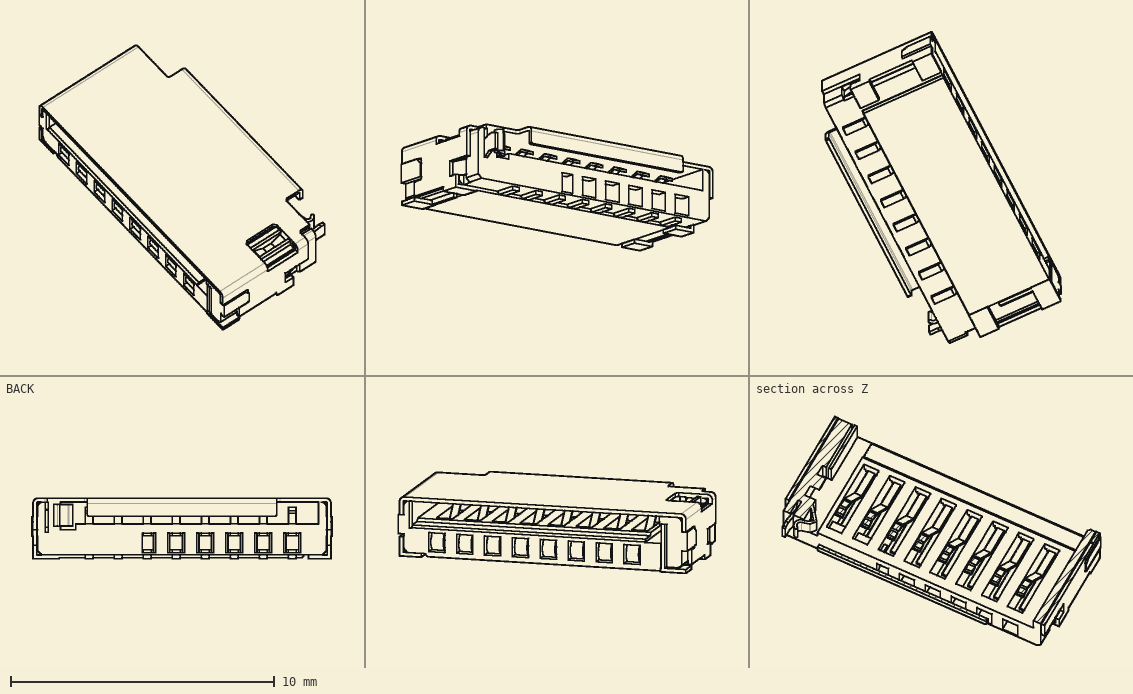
import cadquery as cq
import math

SHEET = 0.15
SHELL_HALF_WIDTH = 5.65
SHELL_DEPTH = 4.60
HEIGHT = 2.30
BEND_OUTER = 0.20
BEND_INNER = BEND_OUTER - SHEET
CEILING = HEIGHT - SHEET

FLAP_HALF_WIDTH = 3.60
FLAP_REAR = 5.45
FLAP_BOTTOM = 1.61
FLAP_CORNER = 0.10
FLAP_TIP_CHAMFER = 0.05
ARC_MIDDLE = FLAP_CORNER * (1 - math.sqrt(0.5))

LATCH_HALF_WIDTH = 5.70
LATCH_BOTTOM = 0.86
LATCH_TOP = 1.60
LATCH_OPENING_BOTTOM = 0.75
LATCH_OPENING_DEPTH = 1.22
LATCH_CORNER = 0.08
LATCH_CHAMFER = 0.20

LEFT_FOOT_END = -4.79
RIGHT_FOOT_END = 4.65
FOOT_GAP_FRONT = 0.79
FOOT_GAP_REAR = 2.62
FOOT_GAP_HEIGHT = 0.18
FOOT_GAP_SLOPE = 0.03
REAR_NOTCH_START = 3.40
REAR_NOTCH_TOP = 0.51
SIDE_RELIEF_START = 3.01
SIDE_RELIEF_TOP = 1.10

WINDOW_LEFT = 4.23
WINDOW_FRONT = 2.16
WINDOW_REAR = 3.61
WINDOW_CORNER = 0.10
WINDOW_WALL_BOTTOM = 1.95
LID_NOTCH_LEFT = 5.10
LID_NOTCH_FRONT = 4.10

HOUSING_HALF_WIDTH = 5.48
HOUSING_BOTTOM = SHEET
HOUSING_CHAMFER = 0.15
HOUSING_TOP_RADIUS = 0.20
HOUSING_FRONT = 0.02
BELLY_BOTTOM = 0.03
BELLY_LEFT = -4.62
BELLY_CHAMFER = 0.08
BELLY_RIGHT = 4.66
CARD_LEFT = -5.17
CARD_RIGHT = 4.60
CARD_LEAD_IN = 0.11
SILL = 1.10
LEDGE = SILL + CARD_LEAD_IN
FLOOR = LEDGE + CARD_LEAD_IN
LEDGE_DEPTH = 0.75
FLOOR_RIGHT = 4.03
RECESS_DEPTH = 0.20
RECESS_REAR = 3.84

CONTACT_COUNT = 8
CONTACT_PITCH = 1.10
FIRST_CONTACT = -4.18
CHANNEL_WIDTH = 0.635
CHANNEL_BOTTOM = 0.235
CHANNEL_TOP = 0.97
BEND_WIDTH = 0.49
BEAM_WIDTH = 0.30
BEAM_THICKNESS = 0.10
CONTACT_FRONT = 0.06
BEAM_RISE_Y = 2.20
BEAM_SHOULDER = 1.82
BEAM_SHOULDER_Y = 3.05
BEAM_PEAK = 1.96
BEAM_PEAK_Y = 3.45
BEAM_TIP_Y = 3.80
CONTACT_CENTRES = [FIRST_CONTACT + i * CONTACT_PITCH for i in range(CONTACT_COUNT)]
SLOT_FRONT = 1.10
SLOT_REAR = 4.20
TAIL_THICKNESS = 0.13
TAIL_REAR = 4.36
CLOSED_CHANNELS_LEFT = 1.50
REAR_WALL_BOTTOM_Y = 4.50
REAR_WALL_TOP_Y = 3.70

SWITCH_SLOT_LEFT = BELLY_RIGHT
SWITCH_SLOT_RIGHT = 4.90
SWITCH_SLOT_TOP = 1.85
SWITCH_SLOT_REAR = WINDOW_FRONT
LEAF_LEFT = 4.68
LEAF_THICKNESS = 0.13
BLADE_LEFT = 5.06
BLADE_RIGHT = 5.19
BLADE_REAR = 5.27
BLADE_BOTTOM = 1.20
BLADE_TOP = 1.87
BLADE_REAR_TOP = 1.83
BLADE_SADDLE = 1.45
BLADE_SHOULDER = 2.20
BLADE_SHOULDER_REAR = 3.80
BLADE_BEND_FRONT = 4.83
BLADE_BEND_REAR = 5.07
BLADE_BEND_TOP = 1.82
BLADE_ROOT_BOTTOM = 1.00
BLADE_TAPER_REAR = 4.90
ARM_LEFT = 4.69
ARM_FRONT = 2.25
ARM_DIP_FRONT = 2.68
ARM_DIP_REAR = 3.07
ARM_REAR = 3.50
ARM_TOP = CEILING
ARM_DIP = 0.20
WINDOW_POCKET_RIGHT = 5.46
RIGHT_POCKET_BOTTOM = 1.95
FOOT_CLEARANCE = 0.05
FOOT_CLEARANCE_DEPTH = 0.30
HOOK_ROOT_X = 4.75
HOOK_ROOT_Y = 3.72
HOOK_LEFT = 4.20
HOOK_LEFT_Y = 4.45
HOOK_FOOT_X = 4.35
HOOK_FOOT_Y = 4.62
HOOK_CURL_X = 4.65
HOOK_CURL_Y = 4.69
HOOK_RIGHT = 4.80
HOOK_RIGHT_Y = 4.87
HOOK_TIP_X = 4.70
HOOK_TIP_Y = 5.05
HOOK_BOTTOM = 1.24
HOOK_TOP = 2.06
HOOK_THICKNESS = 0.13


def block(x0, x1, y0, y1, z0, z1):
    """Axis-aligned box between two corners."""
    return cq.Workplane("XY").box(x1 - x0, y1 - y0, z1 - z0, centered=False).translate((x0, y0, z0))


def side_profile(points, x0, x1):
    """Extrude a (Y, Z) polygon from x0 to x1."""
    return cq.Workplane("YZ").polyline(points).close().extrude(x1 - x0).translate((x0, 0, 0))


def plan_profile(points, z0, z1):
    """Extrude an (X, Y) polygon from z0 to z1."""
    return cq.Workplane("XY").polyline(points).close().extrude(z1 - z0).translate((0, 0, z0))


def make_flap():
    """Lid tab that runs rearward and bends down behind the card."""
    front = SHELL_DEPTH - SHEET
    outer = block(-FLAP_HALF_WIDTH, FLAP_HALF_WIDTH, front, FLAP_REAR, FLAP_BOTTOM, HEIGHT)
    outer = outer.edges(">Y and >Z").fillet(BEND_OUTER)
    inner = block(-FLAP_HALF_WIDTH, FLAP_HALF_WIDTH, front, FLAP_REAR - SHEET, FLAP_BOTTOM, CEILING)
    inner = inner.edges(">Y and >Z").fillet(BEND_INNER)
    flap = outer.cut(inner)
    flap = flap.edges("|Y and <Z").chamfer(FLAP_TIP_CHAMFER)
    for side in (-1, 1):
        corner = (
            cq.Workplane("XY")
            .lineTo(side * FLAP_CORNER, 0)
            .threePointArc((side * ARC_MIDDLE, ARC_MIDDLE), (0, FLAP_CORNER))
            .close()
            .extrude(SHEET)
        )
        flap = flap.union(corner.translate((side * FLAP_HALF_WIDTH, SHELL_DEPTH, CEILING)))
    return flap


def make_shell():
    """Folded sheet cover: lid, side walls, feet and rear flap."""
    inner_half = SHELL_HALF_WIDTH - SHEET
    outer = block(-SHELL_HALF_WIDTH, SHELL_HALF_WIDTH, 0, SHELL_DEPTH, 0, HEIGHT)
    outer = outer.edges("|Y and >Z").fillet(BEND_OUTER)
    inner = block(-inner_half, inner_half, 0, SHELL_DEPTH, SHEET, CEILING)
    inner = inner.edges("|Y and >Z").fillet(BEND_INNER)
    shell = outer.cut(inner)
    shell = shell.cut(block(LEFT_FOOT_END, RIGHT_FOOT_END, 0, SHELL_DEPTH, 0, SHEET))

    gap = side_profile(
        [
            (FOOT_GAP_FRONT, 0),
            (FOOT_GAP_REAR, 0),
            (FOOT_GAP_REAR - FOOT_GAP_SLOPE, FOOT_GAP_HEIGHT),
            (FOOT_GAP_FRONT + FOOT_GAP_SLOPE, FOOT_GAP_HEIGHT),
        ],
        -SHELL_HALF_WIDTH,
        SHELL_HALF_WIDTH,
    )
    rear_notch = block(
        -SHELL_HALF_WIDTH, SHELL_HALF_WIDTH, REAR_NOTCH_START, SHELL_DEPTH, 0, REAR_NOTCH_TOP
    )
    relief = block(
        -SHELL_HALF_WIDTH, SHELL_HALF_WIDTH, SIDE_RELIEF_START, SHELL_DEPTH, REAR_NOTCH_TOP, SIDE_RELIEF_TOP
    )
    latch_opening = block(
        -SHELL_HALF_WIDTH, SHELL_HALF_WIDTH, 0, LATCH_OPENING_DEPTH, LATCH_OPENING_BOTTOM, LATCH_TOP
    ).edges("|X and >Y").fillet(LATCH_CORNER)
    right_opening = block(
        inner_half, SHELL_HALF_WIDTH, 0, FOOT_GAP_FRONT, SHEET, LATCH_OPENING_BOTTOM
    )
    shell = shell.cut(right_opening).cut(gap).cut(rear_notch).cut(relief).cut(latch_opening)

    window = block(WINDOW_LEFT, SHELL_HALF_WIDTH, WINDOW_FRONT, WINDOW_REAR, WINDOW_WALL_BOTTOM, HEIGHT)
    window = window.edges("|Z and <X").chamfer(WINDOW_CORNER)
    notch = block(
        LID_NOTCH_LEFT, SHELL_HALF_WIDTH, LID_NOTCH_FRONT, SHELL_DEPTH, SHEET, HEIGHT
    ).edges("|Z and <X and <Y").fillet(WINDOW_CORNER)
    return shell.cut(window).cut(notch).union(make_flap())


def make_card_space():
    """Space for the card, with a lead-in on the left wall and the stepped sill."""
    space = block(CARD_LEFT, CARD_RIGHT, 0, SHELL_DEPTH, SILL, CEILING)
    lead_in = plan_profile(
        [(CARD_LEFT - CARD_LEAD_IN, 0), (CARD_LEFT, 0), (CARD_LEFT, CARD_LEAD_IN)], SILL, CEILING
    )
    floor = side_profile(
        [
            (0, SILL),
            (CARD_LEAD_IN, LEDGE),
            (LEDGE_DEPTH, LEDGE),
            (LEDGE_DEPTH + CARD_LEAD_IN, FLOOR),
            (SHELL_DEPTH, FLOOR),
            (SHELL_DEPTH, SILL),
        ],
        CARD_LEFT,
        FLOOR_RIGHT,
    )
    return space.cut(floor).union(lead_in)


def make_side_recess(side):
    """Recess in a side wall: a ramp toward the rear and a flat notch below its deep end."""
    outer = side * HOUSING_HALF_WIDTH
    inner = outer - side * RECESS_DEPTH
    ramp = plan_profile(
        [(outer, SIDE_RELIEF_START), (outer, RECESS_REAR), (inner, RECESS_REAR)],
        REAR_NOTCH_TOP,
        SIDE_RELIEF_TOP,
    )
    notch = block(
        min(inner, outer), max(inner, outer), REAR_NOTCH_START, RECESS_REAR, HOUSING_BOTTOM, REAR_NOTCH_TOP
    )
    return ramp.union(notch)


def make_housing():
    """Moulded body with side latches, card space and switch slot."""
    body = block(-HOUSING_HALF_WIDTH, HOUSING_HALF_WIDTH, 0, SHELL_DEPTH, HOUSING_BOTTOM, CEILING)
    body = body.edges("|Y and <Z").chamfer(HOUSING_CHAMFER)
    body = body.edges("|Y and >Z").fillet(HOUSING_TOP_RADIUS)
    belly = block(BELLY_LEFT, BELLY_RIGHT, 0, REAR_NOTCH_START, BELLY_BOTTOM, SILL)
    belly = belly.edges("|Y and <Z and <X").chamfer(BELLY_CHAMFER)
    latches = block(
        -LATCH_HALF_WIDTH, LATCH_HALF_WIDTH, 0, LATCH_OPENING_DEPTH, LATCH_BOTTOM, LATCH_TOP
    ).edges("|X and >Y and >Z").chamfer(LATCH_CHAMFER)
    switch_slot = block(
        SWITCH_SLOT_LEFT, SWITCH_SLOT_RIGHT, 0, SWITCH_SLOT_REAR, BELLY_BOTTOM, SWITCH_SLOT_TOP
    ).union(block(CARD_RIGHT, SWITCH_SLOT_RIGHT, 0, SWITCH_SLOT_REAR, SILL, SWITCH_SLOT_TOP))
    housing = body.union(belly).union(latches).cut(make_card_space()).cut(switch_slot)
    for side in (-1, 1):
        housing = housing.cut(make_side_recess(side))
    for x in CONTACT_CENTRES:
        housing = housing.cut(make_channel(x))
    front_trim = block(-LATCH_HALF_WIDTH, LATCH_HALF_WIDTH, 0, HOUSING_FRONT, 0, HEIGHT)
    return housing.union(make_rear_wall()).cut(make_switch_space()).cut(front_trim)


def make_channel(x):
    """Through channel of one contact and the slot its spring rises through."""
    half = CHANNEL_WIDTH / 2
    channel = block(x - half, x + half, 0, SHELL_DEPTH, CHANNEL_BOTTOM, CHANNEL_TOP)
    slot = block(x - half, x + half, SLOT_FRONT, SLOT_REAR, CHANNEL_TOP, FLOOR)
    return channel.union(slot)


def make_rear_wall():
    """Sloped wall that closes the right-hand channels at the rear."""
    return side_profile(
        [
            (REAR_WALL_BOTTOM_Y, CHANNEL_BOTTOM),
            (SHELL_DEPTH, CHANNEL_BOTTOM),
            (SHELL_DEPTH, CHANNEL_TOP),
            (REAR_WALL_TOP_Y, CHANNEL_TOP),
        ],
        CLOSED_CHANNELS_LEFT,
        FLOOR_RIGHT,
    )


def make_switch_space():
    """Housing clearances: arm pocket, pocket beside the blade, blade slot and foot gap."""
    arm_pocket = block(CARD_RIGHT, BLADE_RIGHT, WINDOW_FRONT, WINDOW_REAR, SILL, CEILING)
    right_pocket = block(
        BLADE_RIGHT, WINDOW_POCKET_RIGHT, WINDOW_FRONT, WINDOW_REAR, RIGHT_POCKET_BOTTOM, CEILING
    )
    blade_slot = block(BLADE_LEFT, BLADE_RIGHT, WINDOW_REAR, SHELL_DEPTH, BLADE_SADDLE, CEILING)
    foot_gap = block(
        SWITCH_SLOT_RIGHT,
        HOUSING_HALF_WIDTH - HOUSING_CHAMFER,
        0,
        FOOT_CLEARANCE_DEPTH,
        HOUSING_BOTTOM,
        HOUSING_BOTTOM + FOOT_CLEARANCE,
    )
    return arm_pocket.union(right_pocket).union(blade_slot).union(foot_gap)


def make_contact(x):
    """Spring contact: front bend, sloping beam with a peak, and solder tail."""
    radius = (CHANNEL_TOP - CHANNEL_BOTTOM) / 2
    centre_y = CONTACT_FRONT + radius
    centre_z = CHANNEL_BOTTOM + radius
    bend = (
        cq.Workplane("YZ")
        .moveTo(SLOT_FRONT, CHANNEL_BOTTOM)
        .lineTo(centre_y, CHANNEL_BOTTOM)
        .threePointArc((CONTACT_FRONT, centre_z), (centre_y, CHANNEL_TOP))
        .lineTo(SLOT_FRONT, CHANNEL_TOP)
        .lineTo(SLOT_FRONT, CHANNEL_TOP - BEAM_THICKNESS)
        .lineTo(centre_y, CHANNEL_TOP - BEAM_THICKNESS)
        .threePointArc(
            (CONTACT_FRONT + BEAM_THICKNESS, centre_z), (centre_y, CHANNEL_BOTTOM + BEAM_THICKNESS)
        )
        .lineTo(SLOT_FRONT, CHANNEL_BOTTOM + BEAM_THICKNESS)
        .close()
        .extrude(BEND_WIDTH / 2, both=True)
    )
    spring = side_profile(
        [
            (SLOT_FRONT, CHANNEL_TOP - BEAM_THICKNESS),
            (BEAM_RISE_Y, CHANNEL_TOP - BEAM_THICKNESS),
            (BEAM_SHOULDER_Y, BEAM_SHOULDER - BEAM_THICKNESS),
            (BEAM_PEAK_Y, BEAM_PEAK - BEAM_THICKNESS),
            (BEAM_TIP_Y, BEAM_SHOULDER - BEAM_THICKNESS),
            (BEAM_TIP_Y, BEAM_SHOULDER),
            (BEAM_PEAK_Y, BEAM_PEAK),
            (BEAM_SHOULDER_Y, BEAM_SHOULDER),
            (BEAM_RISE_Y, CHANNEL_TOP),
            (SLOT_FRONT, CHANNEL_TOP),
        ],
        -BEAM_WIDTH / 2,
        BEAM_WIDTH / 2,
    )
    tail = side_profile(
        [
            (SLOT_FRONT, CHANNEL_BOTTOM),
            (REAR_NOTCH_START, CHANNEL_BOTTOM),
            (REAR_NOTCH_START, TAIL_THICKNESS),
            (REAR_NOTCH_START + TAIL_THICKNESS, 0),
            (TAIL_REAR, 0),
            (TAIL_REAR, HOUSING_BOTTOM),
            (REAR_NOTCH_START + TAIL_THICKNESS, HOUSING_BOTTOM),
            (REAR_NOTCH_START + TAIL_THICKNESS, CHANNEL_BOTTOM + BEAM_THICKNESS),
            (SLOT_FRONT, CHANNEL_BOTTOM + BEAM_THICKNESS),
        ],
        -BEAM_WIDTH / 2,
        BEAM_WIDTH / 2,
    )
    return bend.union(spring).union(tail).translate((x, 0, 0))


def make_leaf():
    """Upright sheet at the right that rises from the shell foot."""
    return block(LEAF_LEFT, LEAF_LEFT + LEAF_THICKNESS, 0, SWITCH_SLOT_REAR, 0, SWITCH_SLOT_TOP)


def make_blade():
    """Detect switch blade along the right wall, with a dipped arm under the window."""
    blade = side_profile(
        [
            (WINDOW_FRONT, BLADE_ROOT_BOTTOM),
            (SHELL_DEPTH, BLADE_ROOT_BOTTOM),
            (BLADE_TAPER_REAR, BLADE_BOTTOM),
            (BLADE_REAR, BLADE_BOTTOM),
            (BLADE_REAR, BLADE_REAR_TOP),
            (BLADE_BEND_REAR, BLADE_TOP),
            (BLADE_BEND_FRONT, BLADE_BEND_TOP),
            (LID_NOTCH_FRONT, BLADE_SADDLE),
            (BLADE_SHOULDER_REAR, BLADE_SHOULDER),
            (WINDOW_FRONT, BLADE_SHOULDER),
        ],
        BLADE_LEFT,
        BLADE_RIGHT,
    )
    arm = side_profile(
        [
            (ARM_FRONT, ARM_TOP),
            (ARM_DIP_FRONT, ARM_TOP - ARM_DIP),
            (ARM_DIP_REAR, ARM_TOP - ARM_DIP),
            (ARM_REAR, ARM_TOP),
            (ARM_REAR, ARM_TOP - SHEET),
            (ARM_DIP_REAR, ARM_TOP - ARM_DIP - SHEET),
            (ARM_DIP_FRONT, ARM_TOP - ARM_DIP - SHEET),
            (ARM_FRONT, ARM_TOP - SHEET),
        ],
        ARM_LEFT,
        BLADE_LEFT,
    )
    return blade.union(arm)


def make_hook():
    """Curled switch spring behind the lid."""
    hook_path = (
        cq.Workplane("XY")
        .moveTo(HOOK_ROOT_X, HOOK_ROOT_Y)
        .lineTo(HOOK_LEFT, HOOK_LEFT_Y)
        .lineTo(HOOK_FOOT_X, HOOK_FOOT_Y)
        .lineTo(HOOK_CURL_X, HOOK_CURL_Y)
        .threePointArc((HOOK_RIGHT, HOOK_RIGHT_Y), (HOOK_TIP_X, HOOK_TIP_Y))
    )
    hook = hook_path.offset2D(HOOK_THICKNESS / 2).extrude(HOOK_TOP - HOOK_BOTTOM)
    return hook.translate((0, 0, HOOK_BOTTOM))


result = make_shell().union(make_housing())
for contact_x in CONTACT_CENTRES:
    result = result.union(make_contact(contact_x))
result = result.union(make_leaf()).union(make_blade()).union(make_hook())